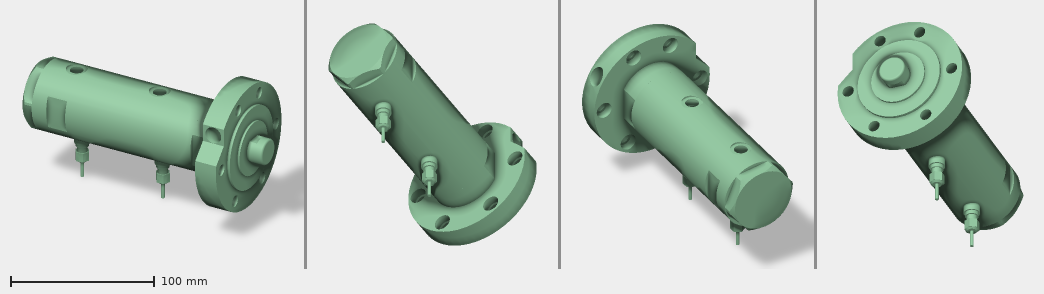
import cadquery as cq
import math


HEX_END = 9.0
TUBE_START = 10.7
CAP_PLUG_END = 35.0
GLAND_START = 99.5
TUBE_END = 136.0
FLANGE_START = 151.5
FLANGE_END = 168.2
SPIGOT_END = 170.4
GLAND_END = 172.0
ROD_FLAT_END = 178.0
ROD_END = 184.0

TUBE_DIAMETER = 52.0
BORE_DIAMETER = 32.0
ROD_DIAMETER = 19.3
FLANGE_DIAMETER = 94.0
SPIGOT_DIAMETER = 62.0
GLAND_DIAMETER = 40.1
WRENCH_SIZE = 46.0

CAP_HEX_TURN = 7.5

TUBE_FLAT_START = 20.5
TUBE_FLAT_END = 35.7
PORT_POSITIONS = [30.5, 97.0]
PORT_DIAMETER = 9.8
PORT_SPOTFACE_DIAMETER = 15.0
PORT_SPOTFACE_HEIGHT = 24.8

BOLT_CIRCLE_DIAMETER = 78.0
BOLT_ANGLES = [0, 67.5, 112.5, 180, 240, 300]
BOLT_HOLE_DIAMETER = 8.5
COUNTERBORE_DIAMETER = 12.1
COUNTERBORE_DEPTH = 6.5
NOTCH_WALL = 35.7
NOTCH_CORNER_HEIGHT = 17.5
CROSS_HOLE_DIAMETER = 12.5
CROSS_HOLE_HEIGHT = 24.0

ROD_FLAT_WIDTH = 16.0
ROD_END_FILLET = 1.5

OVERALL_HEIGHT = 105.3

SENSOR_POSITIONS = [CAP_PLUG_END, GLAND_START]
SENSOR_SEAT = 27.0
COLLAR_END = 31.0
SHOULDER_END = 33.7
NECK_END = 38.0
NUT_END = 44.7
NUT_CONE_END = 45.8
CABLE_END = OVERALL_HEIGHT - FLANGE_DIAMETER / 2
COLLAR_DIAMETER = 11.6
SHOULDER_DIAMETER = 9.4
SENSOR_NECK_DIAMETER = 7.4
NUT_CORNER_DIAMETER = 10.7
NUT_TURN = 3
NUT_CONE_DIAMETER = 6.6
CABLE_DIAMETER = 2.5


def rod_along_x(start, end, diameter, y=0, z=0):
    """Cylinder parallel to X between two stations."""
    plane = cq.Workplane("YZ", origin=(start, y, z))
    return plane.circle(diameter / 2).extrude(end - start)


def rod_down(x, top, bottom, diameter):
    """Cylinder parallel to Z between two distances below the axis."""
    plane = cq.Workplane("XY", origin=(x, 0, -bottom))
    return plane.circle(diameter / 2).extrude(bottom - top)


def cut_wrench_flats(body, start, end, across, axis):
    """Cut two opposite flats, square to the Y or the Z axis, between two stations."""
    length = end - start
    keep = (across, 2 * TUBE_DIAMETER) if axis == "Y" else (2 * TUBE_DIAMETER, across)
    middle = cq.Workplane("YZ", origin=(start, 0, 0)).rect(*keep).extrude(length)
    ring = cq.Workplane("YZ", origin=(start, 0, 0)).circle(TUBE_DIAMETER).extrude(length)
    return body.cut(ring.cut(middle))


def make_cap():
    hex_prism = (
        cq.Workplane("YZ")
        .polygon(6, WRENCH_SIZE, circumscribed=True)
        .extrude(HEX_END)
        .rotate((0, 0, 0), (1, 0, 0), 30 - CAP_HEX_TURN)
    )
    corner_depth = (TUBE_DIAMETER - WRENCH_SIZE) / 2
    blank = rod_along_x(0, HEX_END, TUBE_DIAMETER).faces("<X").chamfer(corner_depth)
    collar = rod_along_x(HEX_END, TUBE_START, TUBE_DIAMETER)
    plug = rod_along_x(TUBE_START, CAP_PLUG_END, BORE_DIAMETER)
    return hex_prism.intersect(blank).union(collar).union(plug)


def make_tube():
    tube = rod_along_x(TUBE_START, TUBE_END, TUBE_DIAMETER)
    for x in SENSOR_POSITIONS:
        tube = tube.union(rod_down(x, BORE_DIAMETER / 2, SENSOR_SEAT, COLLAR_DIAMETER))
    tube = tube.cut(rod_along_x(TUBE_START, TUBE_END, BORE_DIAMETER))
    tube = tube.cut(rod_along_x(GLAND_START, TUBE_END, GLAND_DIAMETER))
    tube = cut_wrench_flats(tube, TUBE_FLAT_START, TUBE_FLAT_END, WRENCH_SIZE, "Y")
    for x in PORT_POSITIONS:
        port = cq.Workplane("XY", origin=(x, 0, 0))
        tube = tube.cut(port.circle(PORT_DIAMETER / 2).extrude(TUBE_DIAMETER))
        spotface = port.workplane(offset=PORT_SPOTFACE_HEIGHT)
        tube = tube.cut(spotface.circle(PORT_SPOTFACE_DIAMETER / 2).extrude(TUBE_DIAMETER))
    return tube


def make_notch():
    """Corner cut from the -Y side of the flange: a wall parallel to Z, then a 45 degree slope."""
    reach = FLANGE_DIAMETER
    run = reach - NOTCH_WALL
    outline = [
        (-NOTCH_WALL, reach),
        (-NOTCH_WALL, NOTCH_CORNER_HEIGHT),
        (-reach, NOTCH_CORNER_HEIGHT - run),
        (-reach, reach),
    ]
    plane = cq.Workplane("YZ", origin=(FLANGE_START, 0, 0))
    return plane.polyline(outline).close().extrude(FLANGE_END - FLANGE_START)


def cut_bolt_holes(flange):
    """Counterbored through holes on the bolt circle, counterbores on the tube side."""
    counterbore_floor = FLANGE_START + COUNTERBORE_DEPTH
    for angle in BOLT_ANGLES:
        y = BOLT_CIRCLE_DIAMETER / 2 * math.cos(math.radians(angle))
        z = BOLT_CIRCLE_DIAMETER / 2 * math.sin(math.radians(angle))
        flange = flange.cut(rod_along_x(FLANGE_START, FLANGE_END, BOLT_HOLE_DIAMETER, y, z))
        flange = flange.cut(rod_along_x(FLANGE_START, counterbore_floor, COUNTERBORE_DIAMETER, y, z))
    return flange


def make_cross_hole():
    """Hole parallel to Y, right through the flange; it breaks into the gland bore."""
    middle = (FLANGE_START + FLANGE_END) / 2
    plane = cq.Workplane("XZ", origin=(middle, 0, CROSS_HOLE_HEIGHT))
    return plane.circle(CROSS_HOLE_DIAMETER / 2).extrude(FLANGE_DIAMETER, both=True)


def make_flange():
    disc = rod_along_x(FLANGE_START, FLANGE_END, FLANGE_DIAMETER).cut(make_notch())
    disc = cut_bolt_holes(disc).cut(make_cross_hole())
    neck = rod_along_x(TUBE_END, FLANGE_START, TUBE_DIAMETER)
    neck = cut_wrench_flats(neck, TUBE_END, FLANGE_START, WRENCH_SIZE, "Y")
    spigot = rod_along_x(FLANGE_END, SPIGOT_END, SPIGOT_DIAMETER)
    flange = disc.union(neck).union(spigot)
    return flange.cut(rod_along_x(TUBE_END, SPIGOT_END, GLAND_DIAMETER))


def make_gland():
    """Sleeve that guides the rod, from the shoulder in the tube to just past the flange."""
    gland = rod_along_x(GLAND_START, GLAND_END, GLAND_DIAMETER)
    return gland.cut(rod_along_x(GLAND_START, GLAND_END, ROD_DIAMETER))


def make_rod():
    rod = rod_along_x(CAP_PLUG_END, ROD_END, ROD_DIAMETER)
    rod = rod.faces(">X").edges().fillet(ROD_END_FILLET)
    return cut_wrench_flats(rod, GLAND_END, ROD_FLAT_END, ROD_FLAT_WIDTH, "Z")


def make_sensor(x):
    nut = (
        cq.Workplane("XY")
        .polygon(6, NUT_CORNER_DIAMETER)
        .extrude(NUT_END - NECK_END)
        .rotate((0, 0, 0), (0, 0, 1), NUT_TURN)
        .translate((x, 0, -NUT_END))
    )
    cone = (
        cq.Workplane("XY", origin=(x, 0, -NUT_END))
        .circle(NUT_CORNER_DIAMETER / 2 * math.cos(math.pi / 6))
        .workplane(offset=NUT_END - NUT_CONE_END)
        .circle(NUT_CONE_DIAMETER / 2)
        .loft()
    )
    sensor = rod_down(x, SENSOR_SEAT, COLLAR_END, COLLAR_DIAMETER)
    sensor = sensor.union(rod_down(x, COLLAR_END, SHOULDER_END, SHOULDER_DIAMETER))
    sensor = sensor.union(rod_down(x, SHOULDER_END, NECK_END, SENSOR_NECK_DIAMETER))
    sensor = sensor.union(nut).union(cone)
    return sensor.union(rod_down(x, NUT_CONE_END, CABLE_END, CABLE_DIAMETER))


cap = make_cap()
tube = make_tube()
flange = make_flange()
gland = make_gland()
piston_rod = make_rod()
sensors = [make_sensor(x).val() for x in SENSOR_POSITIONS]

bodies = [cap.val(), tube.val(), flange.val(), gland.val(), piston_rod.val(), *sensors]
result = cq.Compound.makeCompound(bodies)